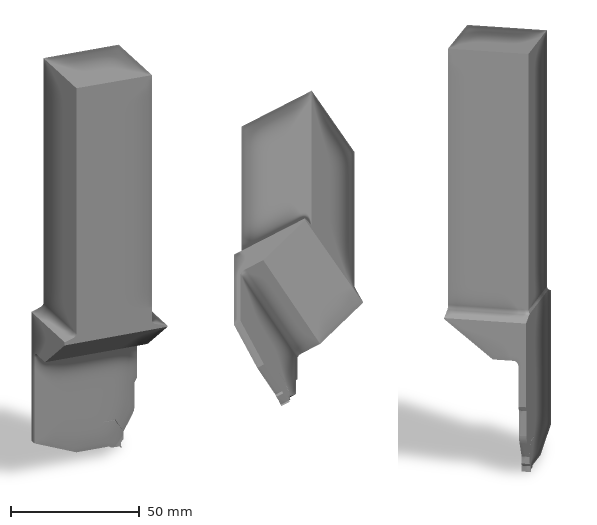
import cadquery as cq
import math

total_length = 170.0
head_depth = 43.5
holder_width = 32.6
narrow_width = 32.1

shank_depth = 32.0
shank_near_y = 5.0
shank_far_y = shank_near_y + shank_depth
shank_inset = 0.5
inset_bottom_z = 64.5
inset_top_z = 65.8

shoulder_z = 64.6
shoulder_slope = 0.33
shoulder_radius = 1.7
flank_bottom_z = 62.0
underside_z = 47.0
underside_end_x = 13.3
blade_thickness = 3.0
blade_root_radius = 2.0

blade_bottom_z = 1.4
heel_z = 8.3
heel_end_y = 17.8
step_top_z = 28.4
step_bottom_z = 26.5
relief_y = 42.5
nose_top_z = 16.3
nose_mid = (42.2, 14.6)
nose_end = (41.5, 13.1)
seat_front = (37.7, 6.5)
seat_heel = (31.8, blade_bottom_z)

insert_top_z = 12.0
seat_clearance = 0.3
insert_top_front_y = 34.3
insert_top_back_y = 29.5
insert_back_y = 29.0
insert_back_top_z = 11.5
insert_back_bottom_z = 8.0
edge_y = 36.7
edge_top_z = 2.4
insert_face_bottom_z = 3.5
insert_bottom_z = 0.7
insert_bottom_back_y = 32.5
edge_land_y = 36.4
flare = 0.3
flare_length = 2.0
flare_start = (36.7, 4.0)
flare_end = (34.2, 0.8)
reach = 34.0


def make_side_profile():
    """Holder in the YZ plane, extruded across its full width."""
    near_shoulder_z = shoulder_z - shoulder_slope * shank_near_y
    far_shoulder_z = shoulder_z - shoulder_slope * (head_depth - shank_far_y)
    solid = (
        cq.Workplane("YZ")
        .moveTo(shank_near_y, total_length)
        .lineTo(shank_near_y, shoulder_z)
        .lineTo(0, near_shoulder_z)
        .lineTo(0, heel_z)
        .lineTo(heel_end_y, blade_bottom_z)
        .lineTo(*seat_heel)
        .lineTo(*seat_front)
        .lineTo(*nose_end)
        .threePointArc(nose_mid, (relief_y, nose_top_z))
        .lineTo(relief_y, step_bottom_z)
        .lineTo(head_depth, step_top_z)
        .lineTo(head_depth, far_shoulder_z)
        .lineTo(shank_far_y, shoulder_z)
        .lineTo(shank_far_y, total_length)
        .close()
        .extrude(holder_width)
    )
    shoulder_corners = cq.selectors.BoxSelector(
        (-1.7, 0, shoulder_z - 0.2), (holder_width + 1.7, head_depth, shoulder_z + 0.2)
    )
    return solid.edges("|X").edges(shoulder_corners).fillet(shoulder_radius)


def make_front_profile():
    """Shank, tapered head and thin blade in the XZ plane."""
    solid = (
        cq.Workplane("XZ")
        .polyline([
            (shank_inset, total_length),
            (shank_inset, inset_top_z),
            (0, inset_bottom_z),
            (0, 0),
            (blade_thickness, 0),
            (blade_thickness, underside_z),
            (underside_end_x, underside_z),
            (holder_width, flank_bottom_z),
            (holder_width, total_length),
        ])
        .close()
        .extrude(-head_depth)
    )
    root = cq.selectors.NearestToPointSelector((blade_thickness, head_depth / 2, underside_z))
    return solid.edges("|Y").edges(root).fillet(blade_root_radius)


def make_plan_profile():
    """Plan outline with the slightly tapered +X face."""
    return (
        cq.Workplane("XY")
        .polyline([(0, 0), (narrow_width, 0), (holder_width, head_depth), (0, head_depth)])
        .close()
        .extrude(total_length)
    )


def make_insert_outline(top_z):
    """Insert outline in the YZ plane, wide enough for the flared edge."""
    return (
        cq.Workplane("YZ", origin=(-flare, 0, 0))
        .polyline([
            (insert_top_front_y, top_z),
            (insert_top_back_y, top_z),
            (insert_back_y, insert_back_top_z),
            (insert_back_y, insert_back_bottom_z),
            seat_heel,
            (insert_bottom_back_y, insert_bottom_z),
            (edge_land_y, insert_bottom_z),
            (edge_y, 0),
            (edge_y, edge_top_z),
            (seat_front[0], insert_face_bottom_z),
            seat_front,
        ])
        .close()
        .extrude(blade_thickness + 2 * flare)
    )


def make_flared_bar():
    """Bar whose sides spread outward towards the cutting edge."""
    along_y = flare_start[0] - flare_end[0]
    along_z = flare_start[1] - flare_end[1]
    length = math.hypot(along_y, along_z)
    plane = cq.Plane(
        origin=(0, *flare_start),
        xDir=(1, 0, 0),
        normal=(0, along_y / length, along_z / length),
    )
    side_slope = flare / flare_length
    end_flare = side_slope * reach
    return (
        cq.Workplane(plane)
        .polyline([
            (0, -reach),
            (blade_thickness, -reach),
            (blade_thickness, 0),
            (blade_thickness + end_flare, reach),
            (-end_flare, reach),
            (0, 0),
        ])
        .close()
        .extrude(reach, both=True)
    )


def make_holder():
    body = make_side_profile().intersect(make_front_profile()).intersect(make_plan_profile())
    return body.cut(make_insert_outline(insert_top_z + seat_clearance))


def make_insert():
    return make_insert_outline(insert_top_z).intersect(make_flared_bar())


holder = make_holder()
cutting_insert = make_insert()
result = cq.Compound.makeCompound([holder.solids().val(), cutting_insert.solids().val()])